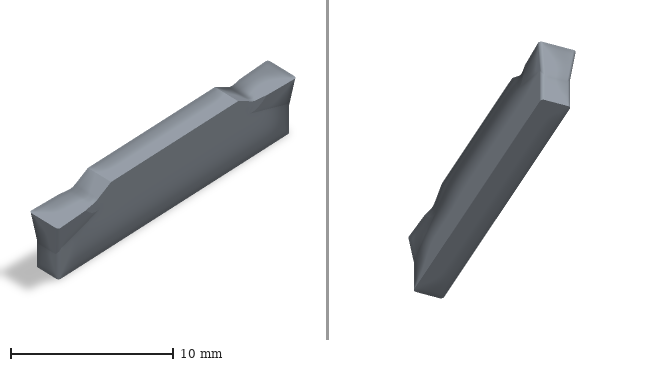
import cadquery as cq
import math

length = 21.0
body_width = 2.0
body_height = 5.1
head_top = 4.3
head_width = 2.52
corner_radius = 0.2

relief_angle = 7.0
side_taper = 2.4
edge_setback = 0.3
neck_start = 2.52
neck_end = 4.03

ramp_top_setback = 4.91
ramp_angle = 30.0
ramp_fillet = 0.85

half_length = length / 2
half_body = body_width / 2
side_slope = math.tan(math.radians(side_taper))
relief_slope = math.tan(math.radians(relief_angle))


def make_side_profile():
    """Prism with the stepped side outline, wider than the whole part."""
    ramp_top = half_length - ramp_top_setback
    ramp_run = (body_height - head_top) / math.tan(math.radians(ramp_angle))
    ramp_base = ramp_top + ramp_run
    prism = (
        cq.Workplane("YZ")
        .moveTo(-half_length, 0)
        .lineTo(half_length, 0)
        .lineTo(half_length, head_top)
        .lineTo(ramp_base, head_top)
        .lineTo(ramp_top, body_height)
        .lineTo(-ramp_top, body_height)
        .lineTo(-ramp_base, head_top)
        .lineTo(-half_length, head_top)
        .close()
        .extrude(head_width, both=True)
    )
    for y in (-ramp_base, ramp_base):
        base_edge = cq.selectors.NearestToPointSelector((0, y, head_top))
        prism = prism.edges("|X").edges(base_edge).fillet(ramp_fillet)
    return prism


def make_body():
    """Straight bar with rounded upright corners."""
    body_length = length - 2 * edge_setback
    bar = cq.Workplane("XY").rect(body_width, body_length).extrude(body_height)
    return bar.edges("|Z").fillet(corner_radius)


def make_head():
    """Relieved wedge at the +Y end, reaching above the cutting face into the ramp."""
    growth = (body_height - head_top) * relief_slope
    front_y = half_length + growth
    rear_y = half_length - ramp_top_setback
    front_half = head_width / 2 + growth
    rear_half = front_half - (front_y - rear_y) * side_slope
    wedge = (
        cq.Workplane("XY")
        .workplane(offset=body_height)
        .polyline([
            (-front_half, front_y),
            (front_half, front_y),
            (rear_half, rear_y),
            (-rear_half, rear_y),
        ])
        .close()
        .extrude(-body_height, taper=relief_angle)
    )
    front_corners = wedge.faces(">Y").edges("not |X")
    wedge = front_corners.fillet(corner_radius)
    return wedge.intersect(make_neck_outline())


def make_neck_outline():
    """Upright prism whose sides curve tangentially into the body behind the head."""
    start_half = head_width / 2 - neck_start * side_slope
    start_y = half_length - neck_start
    end_y = half_length - neck_end
    front_y = half_length + edge_setback
    run = start_y - end_y
    rise = start_half - half_body
    arc_radius = (run**2 + rise**2) / (2 * rise)
    mid_y = end_y + run / 2
    mid_half = half_body + arc_radius - math.sqrt(arc_radius**2 - (run / 2) ** 2)
    return (
        cq.Workplane("XY")
        .moveTo(half_body, end_y)
        .threePointArc((mid_half, mid_y), (start_half, start_y))
        .lineTo(head_width, start_y)
        .lineTo(head_width, front_y)
        .lineTo(-head_width, front_y)
        .lineTo(-head_width, start_y)
        .lineTo(-start_half, start_y)
        .threePointArc((-mid_half, mid_y), (-half_body, end_y))
        .close()
        .extrude(body_height)
    )


head = make_head()
result = make_body().union(head).union(head.mirror("XZ")).intersect(make_side_profile())